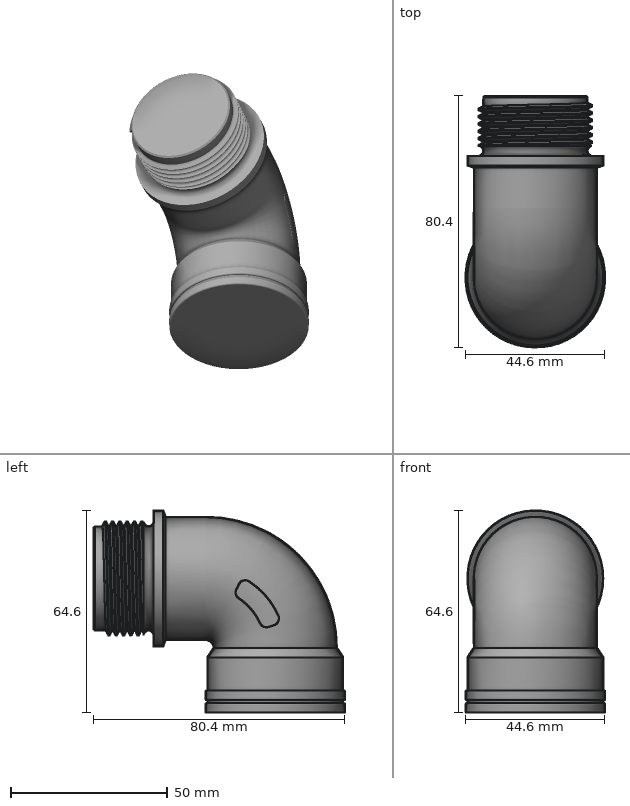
import cadquery as cq
import math

NOMINAL_SCALE = 1.01

body_radius = 19.5 * NOMINAL_SCALE
bend_radius = 22.0 * NOMINAL_SCALE

socket_radius = 21.5 * NOMINAL_SCALE
socket_height = 17.5 * NOMINAL_SCALE
socket_cone_height = 3.0 * NOMINAL_SCALE
ring_count = 2
ring_radius = 22.1 * NOMINAL_SCALE
ring_height = 3.0 * NOMINAL_SCALE
ring_gap = 1.0 * NOMINAL_SCALE
ring_edge_radius = 0.5 * NOMINAL_SCALE

flange_radius = socket_radius
flange_width = 3.0 * NOMINAL_SCALE
flange_cone_angle = 20.0

spigot_radius = 16.5 * NOMINAL_SCALE
spigot_length = 19.0 * NOMINAL_SCALE
spigot_chamfer = 0.5 * NOMINAL_SCALE
relief_width = 3.2 * NOMINAL_SCALE
relief_rim_radius = 17.7 * NOMINAL_SCALE
inch = 25.4
threads_per_inch = 11
thread_pitch = inch / threads_per_inch * NOMINAL_SCALE
thread_turns = 6
thread_crest_radius = 18.0 * NOMINAL_SCALE
thread_crest_width = 0.3 * NOMINAL_SCALE
thread_flank_angle = 27.5
thread_end_gap = 3.12 * NOMINAL_SCALE
thread_root_overlap = 0.2

badge_width = 6.25 * NOMINAL_SCALE
badge_start_angle = 18.5
badge_end_angle = 62.5
badge_corner_radius = 2.2 * NOMINAL_SCALE
badge_height = 0.1

overall_length = 57.5 * NOMINAL_SCALE
bend_bottom_z = socket_height + socket_cone_height
pipe_axis_z = bend_bottom_z + bend_radius
flange_face_y = overall_length - spigot_length
flange_rim_y = flange_face_y - flange_width
flange_cone_length = (flange_radius - body_radius) * math.tan(math.radians(flange_cone_angle))
relief_end_y = flange_face_y + relief_width


def make_bend(radius):
    """Quarter torus from the top of the socket to the start of the straight pipe."""
    return (
        cq.Workplane("XY", origin=(0, 0, bend_bottom_z))
        .circle(radius)
        .revolve(90, (0, bend_radius, 0), (-1, bend_radius, 0))
    )


def make_socket():
    """Socket barrel with the cone that joins it to the bend."""
    return (
        cq.Workplane("XZ")
        .moveTo(0, 0)
        .lineTo(socket_radius, 0)
        .lineTo(socket_radius, socket_height)
        .lineTo(body_radius, bend_bottom_z)
        .lineTo(0, bend_bottom_z)
        .close()
        .revolve(360, (0, 0, 0), (0, 1, 0))
    )


def make_socket_ring(bottom_z):
    """Rounded ring around the socket mouth."""
    return (
        cq.Workplane("XY", origin=(0, 0, bottom_z))
        .circle(ring_radius)
        .extrude(ring_height)
        .edges()
        .fillet(ring_edge_radius)
    )


def make_straight_pipe():
    """Straight pipe, flange, relief groove and plain spigot, revolved about the horizontal axis."""
    return (
        cq.Workplane("XY", origin=(0, 0, pipe_axis_z))
        .moveTo(0, bend_radius)
        .lineTo(body_radius, bend_radius)
        .lineTo(body_radius, flange_rim_y - flange_cone_length)
        .lineTo(flange_radius, flange_rim_y)
        .lineTo(flange_radius, flange_face_y)
        .lineTo(relief_rim_radius, flange_face_y)
        .threePointArc(
            (spigot_radius, flange_face_y + relief_width / 2),
            (relief_rim_radius, relief_end_y),
        )
        .lineTo(spigot_radius, relief_end_y)
        .lineTo(spigot_radius, overall_length - spigot_chamfer)
        .lineTo(spigot_radius - spigot_chamfer, overall_length)
        .lineTo(0, overall_length)
        .close()
        .revolve(360, (0, 0, 0), (0, 1, 0))
    )


def make_thread():
    """Right-handed helical ridge, ending at the rim of the relief groove."""
    thread_length = thread_turns * thread_pitch
    root_radius = spigot_radius - thread_root_overlap
    crest_half = thread_crest_width / 2
    flank_rise = (thread_crest_radius - root_radius) * math.tan(math.radians(thread_flank_angle))
    root_half = crest_half + flank_rise
    helix = cq.Wire.makeHelix(thread_pitch, thread_length, root_radius)
    ridge = (
        cq.Workplane("XZ")
        .moveTo(root_radius, -root_half)
        .lineTo(thread_crest_radius, -crest_half)
        .lineTo(thread_crest_radius, crest_half)
        .lineTo(root_radius, root_half)
        .close()
        .sweep(cq.Workplane(helix), isFrenet=True)
    )
    thread_start_y = overall_length - thread_end_gap - thread_length
    ridge = ridge.rotate((0, 0, 0), (1, 0, 0), -90).translate((0, thread_start_y, pipe_axis_z))
    neck_zone = (
        cq.Workplane("XZ", origin=(0, relief_end_y, pipe_axis_z))
        .circle(flange_radius)
        .extrude(2 * relief_width)
    )
    return ridge.cut(neck_zone)


def make_badge():
    """Thin rounded pad that follows the bend on its -X flank."""
    inner_radius = bend_radius - badge_width / 2
    outer_radius = bend_radius + badge_width / 2
    middle_angle = (badge_start_angle + badge_end_angle) / 2

    def bend_point(radius, angle):
        turn = math.radians(angle)
        return (bend_radius - radius * math.cos(turn), bend_bottom_z + radius * math.sin(turn))

    outline = (
        cq.Workplane("YZ")
        .moveTo(*bend_point(inner_radius, badge_start_angle))
        .lineTo(*bend_point(outer_radius, badge_start_angle))
        .threePointArc(
            bend_point(outer_radius, middle_angle),
            bend_point(outer_radius, badge_end_angle),
        )
        .lineTo(*bend_point(inner_radius, badge_end_angle))
        .threePointArc(
            bend_point(inner_radius, middle_angle),
            bend_point(inner_radius, badge_start_angle),
        )
        .close()
        .extrude(-2 * body_radius)
        .edges("|X")
        .fillet(badge_corner_radius)
    )
    return outline.intersect(make_bend(body_radius + badge_height))


result = make_bend(body_radius).union(make_socket()).union(make_straight_pipe())
for ring_index in range(ring_count):
    result = result.union(make_socket_ring(ring_index * (ring_height + ring_gap)))
result = result.union(make_badge()).union(make_thread())